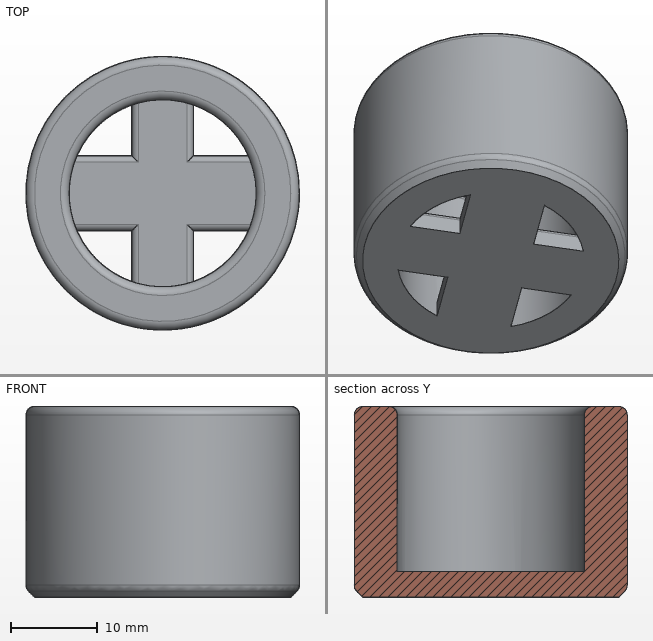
import cadquery as cq

outer_diameter = 31.5
bore_diameter = 21.5
height = 22.0
rim_radius = 1.0
foot_chamfer = 1.0
foot_blend_radius = 1.0

x_bar_width = 8.65
y_bar_width = 7.12
bar_height = 3.0
bar_edge_radius = 0.75
wall_thickness = (outer_diameter - bore_diameter) / 2
bar_length = bore_diameter + wall_thickness


def make_ring():
    """Thick ring with rounded top edges and a blended chamfer at the foot."""
    body = cq.Workplane("XY").circle(outer_diameter / 2).extrude(height)
    body = body.faces("<Z").chamfer(foot_chamfer)
    chamfer_top = cq.selectors.NearestToPointSelector((0, 0, foot_chamfer))
    body = body.edges(chamfer_top).fillet(foot_blend_radius)
    bore = cq.Workplane("XY").circle(bore_diameter / 2).extrude(height)
    return body.cut(bore).faces(">Z").edges().fillet(rim_radius)


def make_bar(length_x, length_y, long_direction):
    """Bar standing on the base plane with its long top edges rounded."""
    bar = cq.Workplane("XY").box(length_x, length_y, bar_height, centered=(True, True, False))
    return bar.faces(">Z").edges(long_direction).fillet(bar_edge_radius)


x_bar = make_bar(bar_length, x_bar_width, "|X")
y_bar = make_bar(y_bar_width, bar_length, "|Y")
result = make_ring().union(x_bar).union(y_bar)